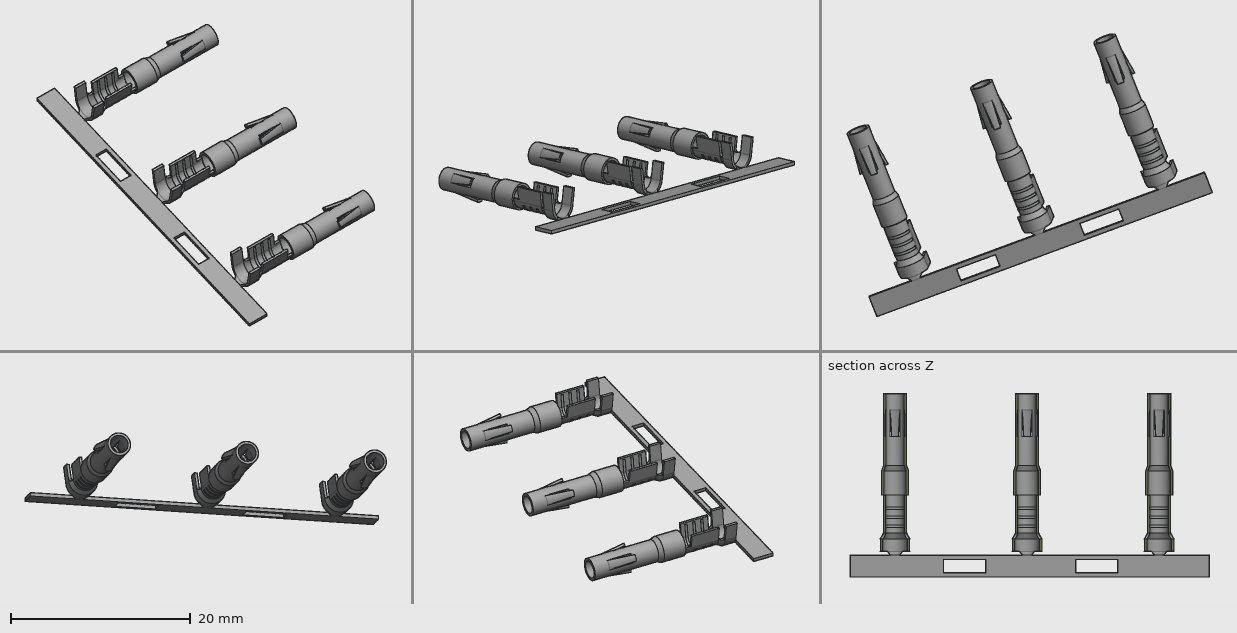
import cadquery as cq
import math


WALL = 0.3
TUBE_R = 2.6 / 2
BARREL_R = 3.04 / 2
INSULATION_R = 1.65
INSULATION_WALL = 0.32

TONGUE_ROOT = 1.81
TONGUE_SLOT_END = 4.77
TONGUE_TIP = 5.0
CONE_START = 8.0
BARREL_START = 8.6
BARREL_END = 11.3
WIRE_WING_START = 12.1
WIRE_WING_END = 15.52
INSULATION_START = 16.2
INSULATION_END = 17.57
STRIP_START = 18.0
STRIP_END = 20.45

TONGUE_ANGLES = (0, 120, 240)
TONGUE_SLOT_WIDTH = 1.1
TONGUE_TIP_WIDTH = 0.75
TONGUE_REACH = 1.79

WING_LEAN = 8
WEB_TOP = 0.08
WIRE_WING_TOP = 1.56
INSULATION_WING_TOP = 1.79

SERRATION_COUNT = 3
FIRST_SERRATION = 12.76
SERRATION_PITCH = 1.0
SERRATION_WIDTH = 0.3
SERRATION_DEPTH = 0.02
SERRATION_TOP = 1.35
BEAD_TOP = -0.52

STRIP_LENGTH = 40
STRIP_THICKNESS = 0.4
STRIP_BOTTOM = -INSULATION_R
PITCH = 14.7
CONTACT_COUNT = 3
FIRST_CONTACT = 5.0
WINDOW_LENGTH = 4.65
WINDOW_WIDTH = 1.45
WINDOW_OFFSET = 7.75
NECK_CRIMP_WIDTH = 1.75
NECK_STRIP_WIDTH = 1.0


def section_at(station):
    """Plane across the contact; extrusions from it run away from the tip."""
    return cq.Workplane("XZ", origin=(0, -station, 0))


def add_u_outline(plane, outer_r, top, wall):
    """Closed U outline: a round bottom that runs tangentially into two leaning wings."""
    lean = math.radians(WING_LEAN)

    def tangent_point(r):
        return r * math.cos(lean), -r * math.sin(lean)

    def wing_top(r):
        x, z = tangent_point(r)
        return x + (top - z) * math.tan(lean), top

    def mirrored(point):
        return -point[0], point[1]

    inner_r = outer_r - wall
    return (
        plane.moveTo(*mirrored(wing_top(outer_r)))
        .lineTo(*mirrored(tangent_point(outer_r)))
        .threePointArc((0, -outer_r), tangent_point(outer_r))
        .lineTo(*wing_top(outer_r))
        .lineTo(*wing_top(inner_r))
        .lineTo(*tangent_point(inner_r))
        .threePointArc((0, -inner_r), mirrored(tangent_point(inner_r)))
        .lineTo(*mirrored(wing_top(inner_r)))
        .close()
    )


def u_channel(start, end, outer_r, top, wall):
    return add_u_outline(section_at(start), outer_r, top, wall).extrude(end - start)


def make_socket():
    """Round socket: the thin tube, a cone and the wider barrel, bored through."""
    outer = [
        (TUBE_R, 0),
        (TUBE_R, -CONE_START),
        (BARREL_R, -BARREL_START),
        (BARREL_R, -BARREL_END),
    ]
    inner = [(r - WALL, y) for r, y in reversed(outer)]
    socket = cq.Workplane("XY").polyline(outer + inner).close().revolve(360, (0, 0, 0), (0, 1, 0))
    for angle in TONGUE_ANGLES:
        socket = socket.cut(about_axis(make_tongue_slot(), angle))
    for angle in TONGUE_ANGLES:
        socket = socket.union(about_axis(make_tongue(), angle))
    return socket


def about_axis(body, angle):
    return body.rotate((0, 0, 0), (0, 1, 0), angle)


def make_tongue_slot():
    """Straight slot through the tube wall below the axis."""
    return (
        section_at(TONGUE_ROOT)
        .rect(TONGUE_SLOT_WIDTH, TUBE_R)
        .extrude(TONGUE_SLOT_END - TONGUE_ROOT)
        .translate((0, 0, -TUBE_R))
    )


def add_wall_piece(plane, outer_r, wall, chord, center_z=0):
    """Outline of the lowest piece of a round wall, cut off at both ends of the chord."""
    half = chord / 2
    inner_r = outer_r - wall
    outer_z = center_z - math.sqrt(outer_r**2 - half**2)
    inner_z = center_z - math.sqrt(inner_r**2 - half**2)
    return (
        plane.moveTo(-half, outer_z)
        .threePointArc((0, center_z - outer_r), (half, outer_z))
        .lineTo(half, inner_z)
        .threePointArc((0, center_z - inner_r), (-half, inner_z))
        .close()
    )


def make_tongue():
    """Tapered tongue below the axis, sloping outward from the root of its slot."""
    root = add_wall_piece(section_at(TONGUE_ROOT), TUBE_R, WALL, TONGUE_SLOT_WIDTH)
    tip_plane = root.workplane(offset=TONGUE_TIP - TONGUE_ROOT)
    drop = TONGUE_REACH - TUBE_R
    return add_wall_piece(tip_plane, TUBE_R, WALL, TONGUE_TIP_WIDTH, -drop).loft(ruled=True)


def make_wire_crimp():
    """Low web behind the barrel and the taller wire wings, with serrations across them."""
    crimp = u_channel(BARREL_END, WIRE_WING_END, TUBE_R, WEB_TOP, WALL)
    crimp = crimp.union(u_channel(WIRE_WING_START, WIRE_WING_END, TUBE_R, WIRE_WING_TOP, WALL))
    for index in range(SERRATION_COUNT):
        station = FIRST_SERRATION + index * SERRATION_PITCH
        start = station - SERRATION_WIDTH / 2
        end = station + SERRATION_WIDTH / 2
        bead_r = TUBE_R + SERRATION_DEPTH
        bead_chord = 2 * math.sqrt(bead_r**2 - BEAD_TOP**2)
        bead_ring = section_at(start).circle(bead_r).circle(TUBE_R).extrude(SERRATION_WIDTH)
        below = cq.Workplane("XY", origin=(0, -station, BEAD_TOP)).rect(bead_chord, SERRATION_WIDTH)
        bead = bead_ring.intersect(below.extrude(-bead_r))
        groove_r = TUBE_R - WALL + SERRATION_DEPTH
        groove = u_channel(start, end, groove_r, SERRATION_TOP, 2 * SERRATION_DEPTH)
        crimp = crimp.union(bead).cut(groove)
    return crimp


def make_transition():
    """Flare between the crimps, notched by a round-bottomed gap between the wings."""
    gap_r = (INSULATION_START - WIRE_WING_END) / 2
    gap_bottom = -TUBE_R * math.sin(math.radians(WING_LEAN))
    top = gap_bottom + gap_r
    small = add_u_outline(section_at(WIRE_WING_END), TUBE_R, top, WALL)
    large_plane = small.workplane(offset=INSULATION_START - WIRE_WING_END)
    flare = add_u_outline(large_plane, INSULATION_R, top, INSULATION_WALL).loft(ruled=True)
    gap = (
        cq.Workplane("YZ")
        .center(-(WIRE_WING_END + INSULATION_START) / 2, top)
        .circle(gap_r)
        .extrude(2 * INSULATION_R, both=True)
    )
    return flare.cut(gap)


def make_insulation_crimp():
    return u_channel(
        INSULATION_START, INSULATION_END, INSULATION_R, INSULATION_WING_TOP, INSULATION_WALL
    )


def make_neck():
    """Tapered neck from the curved bottom of the insulation crimp to the flat strip."""
    half = NECK_STRIP_WIDTH / 2
    strip_top = STRIP_BOTTOM + STRIP_THICKNESS
    crimp_plane = section_at(INSULATION_END)
    return (
        add_wall_piece(crimp_plane, INSULATION_R, INSULATION_WALL, NECK_CRIMP_WIDTH)
        .workplane(offset=STRIP_START - INSULATION_END)
        .moveTo(-half, STRIP_BOTTOM)
        .lineTo(half, STRIP_BOTTOM)
        .lineTo(half, strip_top)
        .lineTo(-half, strip_top)
        .close()
        .loft(ruled=True)
    )


def make_contact():
    contact = make_socket().union(make_wire_crimp()).union(make_transition())
    return contact.union(make_insulation_crimp()).union(make_neck())


def make_strip():
    """Flat carrier strip with a window between each two contacts."""
    width = STRIP_END - STRIP_START
    center_y = -(STRIP_START + STRIP_END) / 2
    strip = cq.Workplane("XY").box(
        STRIP_LENGTH, width, STRIP_THICKNESS, centered=(False, True, False)
    )
    window = cq.Workplane("XY").rect(WINDOW_LENGTH, WINDOW_WIDTH).extrude(STRIP_THICKNESS)
    for index in range(CONTACT_COUNT - 1):
        strip = strip.cut(window.translate((FIRST_CONTACT + WINDOW_OFFSET + index * PITCH, 0, 0)))
    return strip.translate((0, center_y, STRIP_BOTTOM))


result = make_strip()
contact_body = make_contact()
for contact_index in range(CONTACT_COUNT):
    result = result.union(contact_body.translate((FIRST_CONTACT + contact_index * PITCH, 0, 0)))